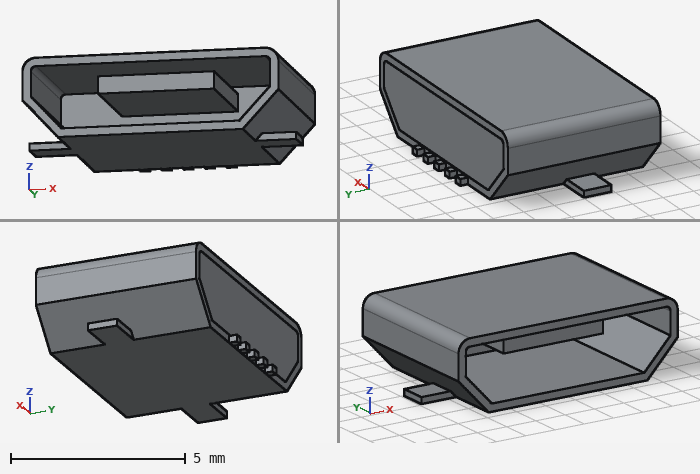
import cadquery as cq


shell_width = 7.49
shell_height = 2.35
shell_length = 5.01
shell_wall = 0.25
top_radius = 0.4
side_bottom = 1.115
floor_width = 5.41

tab_span = 7.8
tab_thickness = 0.21
tab_front = 1.7
tab_length = 0.905

base_depth = 0.935
tongue_width = 3.385
tongue_thickness = 0.51
tongue_bottom = 1.38
tongue_setback = 0.78

pin_count = 5
pin_pitch = 0.63
pin_width = 0.27
pin_thickness = 0.21
pin_length = 0.24


def box_at(width, length, height, x_center, y_front, z_bottom):
    """Box centred on x_center, extending to +Y and +Z from the given front and bottom."""
    box = cq.Workplane("XY").box(width, length, height, centered=(True, False, False))
    return box.translate((x_center, y_front, z_bottom))


def shell_prism(inset, y_front, length):
    """Prism along Y with the shell outline moved inward by inset."""
    half_width = shell_width / 2
    half_floor = floor_width / 2
    outline = [
        (-half_floor, 0),
        (half_floor, 0),
        (half_width, side_bottom),
        (half_width, shell_height),
        (-half_width, shell_height),
        (-half_width, side_bottom),
    ]
    plane = cq.Workplane("XZ", origin=(0, y_front, 0))
    sharp_outline = plane.polyline(outline).close()
    if inset > 0:
        sharp_outline = sharp_outline.offset2D(-inset)
    prism = sharp_outline.extrude(-length)
    return prism.edges("|Y and >Z").fillet(top_radius - inset)


def make_shell():
    """Open-ended tube with a solder tab reaching out under each sloped side."""
    outer = shell_prism(0, 0, shell_length)
    tabs = box_at(tab_span, tab_length, tab_thickness, 0, tab_front, 0)
    opening = shell_prism(shell_wall, 0, shell_length)
    return outer.union(tabs).cut(opening)


def make_insulator():
    """Base closing the back of the shell, with the contact tongue reaching forward."""
    base_front = shell_length - base_depth
    base = shell_prism(shell_wall, base_front, base_depth)
    tongue_length = base_front - tongue_setback
    tongue = box_at(tongue_width, tongue_length, tongue_thickness, 0, tongue_setback, tongue_bottom)
    return base.union(tongue)


def make_pin(x_center):
    """Solder tail standing out from the back of the shell."""
    return box_at(pin_width, pin_length, pin_thickness, x_center, shell_length, 0)


shell = make_shell()
insulator = make_insulator()

pins = []
for index in range(pin_count):
    pin_x = (index - (pin_count - 1) / 2) * pin_pitch
    pins.append(make_pin(pin_x).val())

result = cq.Compound.makeCompound([shell.val(), insulator.val(), *pins])